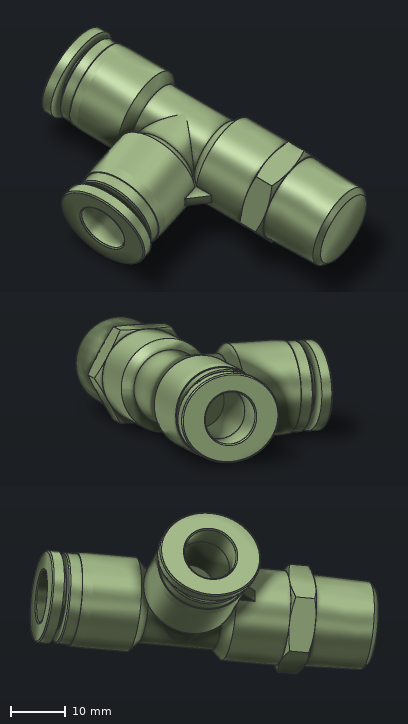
import cadquery as cq
import math


arm_length = 26.08
body_diameter = 17.6
neck_diameter = 14.0
socket_cone_start = 7.3
socket_cone_end = 9.1
sleeve_start = 18.3
sleeve_step = 20.2
socket_end = 22.65
sleeve_taper_diameter = 17.3
sleeve_diameter = 16.9
edge_chamfer = 0.25

button_bore = 9.75
stem_diameter = 11.9
flange_thickness = 2.2
flange_width = 19.05
flange_height = 16.75
button_length = 5.8
socket_floor = 9.1

stud_cone_start = 6.9
stud_cone_end = 8.8
tee_end = 19.1

rib_thickness = 2.1
rib_reach = 21.1

overall_length = 62.1
hex_across_flats = 17.5
hex_thickness = 4.9
hex_corner_chamfer = 0.65
thread_taper = 1 / 16
thread_tip_diameter = 16.4
thread_chamfer = 1.0

body_radius = body_diameter / 2
neck_radius = neck_diameter / 2
button_inner_end = arm_length - button_length


def revolve_along_x(profile):
    """Turn a closed (x, radius) profile about the X axis."""
    return cq.Workplane("XY").polyline(profile).close().revolve(360, (0, 0, 0), (1, 0, 0))


def to_run(shape):
    """Move a part modelled along +X onto the -X end of the run."""
    return shape.rotate((0, 0, 0), (0, 0, 1), 180)


def to_branch(shape):
    """Move a part modelled along +X onto the branch, which points along -Y."""
    return shape.rotate((0, 0, 0), (0, 0, 1), -90)


def socket_outline():
    """(x, radius) points of a socket along +X, from the neck to its open end."""
    sleeve_radius = sleeve_diameter / 2
    return [
        (socket_cone_start, neck_radius),
        (socket_cone_end, body_radius),
        (sleeve_start, body_radius),
        (sleeve_step, sleeve_taper_diameter / 2),
        (sleeve_step, sleeve_radius),
        (socket_end - edge_chamfer, sleeve_radius),
        (socket_end, sleeve_radius - edge_chamfer),
        (socket_end, 0),
    ]


def make_socket_bore():
    """Seat for the button stem, then the tube hole down to its stop."""
    seat_radius = stem_diameter / 2
    tube_radius = button_bore / 2
    return revolve_along_x([
        (socket_floor, 0),
        (socket_floor, tube_radius),
        (button_inner_end, tube_radius),
        (button_inner_end, seat_radius),
        (socket_end, seat_radius),
        (socket_end, 0),
    ])


def make_run():
    """Straight run: a socket at -X, the neck, and the stud end at +X."""
    socket_end_outline = [(-x, radius) for x, radius in reversed(socket_outline())]
    stud_end_outline = [
        (stud_cone_start, neck_radius),
        (stud_cone_end, body_radius),
        (tee_end, body_radius),
        (tee_end, 0),
    ]
    return revolve_along_x(socket_end_outline + stud_end_outline)


def make_branch():
    return to_branch(revolve_along_x([(0, 0), (0, neck_radius)] + socket_outline()))


def make_rib():
    inner_corner = neck_radius
    outline = [
        (inner_corner, -inner_corner),
        (rib_reach - inner_corner, -inner_corner),
        (inner_corner, inner_corner - rib_reach),
    ]
    return cq.Workplane("XY").polyline(outline).close().extrude(rib_thickness / 2, both=True)


def make_tee():
    bore = make_socket_bore()
    tee = make_run().union(make_branch()).union(make_rib())
    return tee.cut(to_run(bore)).cut(to_branch(bore))


def make_button():
    """Release button: an oval flange on a round stem, bored through."""
    flange = (
        cq.Workplane("YZ", origin=(arm_length - flange_thickness, 0, 0))
        .ellipse(flange_width / 2, flange_height / 2)
        .extrude(flange_thickness)
        .faces(">X").edges().chamfer(edge_chamfer)
    )
    stem = (
        cq.Workplane("YZ", origin=(button_inner_end, 0, 0))
        .circle(stem_diameter / 2)
        .extrude(button_length - flange_thickness)
    )
    bore_radius = button_bore / 2
    bore = revolve_along_x([
        (button_inner_end, 0),
        (button_inner_end, bore_radius),
        (arm_length - edge_chamfer, bore_radius),
        (arm_length, bore_radius + edge_chamfer),
        (arm_length, 0),
    ])
    return flange.union(stem).cut(bore)


def make_stud():
    """Hexagon with chamfered corners, followed by the tapered thread."""
    corner_radius = hex_across_flats / math.sqrt(3)
    flat_radius = hex_across_flats / 2
    hex_end = tee_end + hex_thickness
    stud_end = overall_length - arm_length
    thread_end = stud_end - thread_chamfer
    tip_radius = thread_tip_diameter / 2
    root_radius = tip_radius + thread_taper / 2 * (thread_end - hex_end)

    hexagon = (
        cq.Workplane("YZ", origin=(tee_end, 0, 0))
        .polygon(6, 2 * corner_radius)
        .extrude(hex_thickness)
    )
    chamfer_envelope = revolve_along_x([
        (tee_end, 0),
        (tee_end, flat_radius),
        (tee_end + hex_corner_chamfer, corner_radius),
        (hex_end - hex_corner_chamfer, corner_radius),
        (hex_end, flat_radius),
        (hex_end, 0),
    ])
    thread = revolve_along_x([
        (hex_end, 0),
        (hex_end, root_radius),
        (thread_end, tip_radius),
        (stud_end, tip_radius - thread_chamfer),
        (stud_end, 0),
    ])
    return hexagon.intersect(chamfer_envelope).union(thread)


tee = make_tee()
stud = make_stud()
buttons = [place(make_button()) for place in (to_run, to_branch)]

result = cq.Compound.makeCompound([
    tee.val(),
    stud.val(),
    *[button.val() for button in buttons],
])